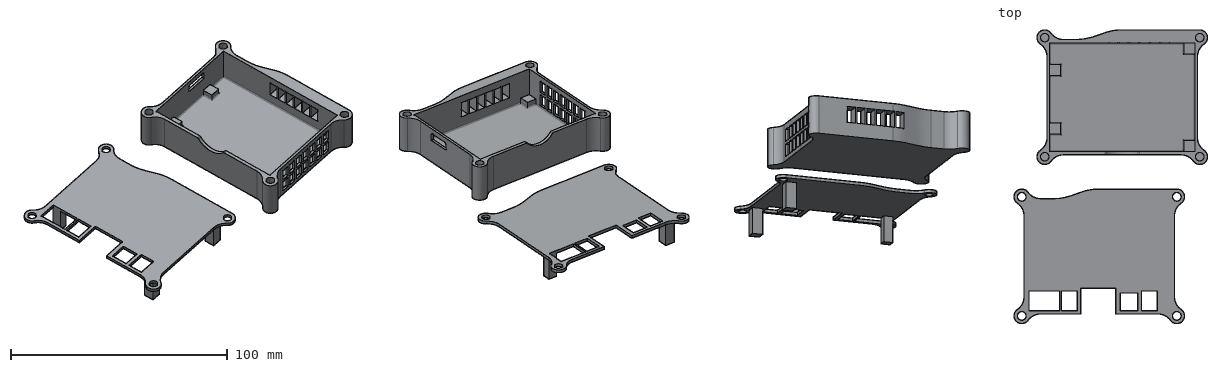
import cadquery as cq
import math

CAVITY_X = 67.0
CAVITY_Y = 50.0
SIDE_WALL = 1.25
END_WALL = 1.65
HOUSING_HEIGHT = 18.0
FLOOR = 1.5
FLOOR_FILLET = 0.4

BOSS_RADIUS = 3.6
BOSS_HOLE_DIAMETER = 3.9
BOSS_SPACING_X = 71.5
BOSS_SPACING_Y = 54.9
BOSS_BLEND_RADIUS = 7.0

SWELL_START_X = 12.8
SWELL_END_X = 33.0

PAD_SIZE = 5.0
PAD_TOP = 4.2
LEFT_PAD_Y = (8.0, 35.0)

THUMB_RADIUS = 9.3
THUMB_DEPTH = 3.8
THUMB_LIP_RADIUS = 1.0

SLOT_Y = 24.5
SLOT_LENGTH = 11.0
SLOT_BOTTOM = 11.65
SLOT_HEIGHT = 3.8
SLOT_CORNER = 0.8

SIDE_VENT_COLUMNS = 7
SIDE_VENT_PITCH = 5.0
SIDE_VENT_WIDTH = 3.5
SIDE_VENT_HEIGHT = 5.75
SIDE_VENT_BOTTOMS = (2.2, 9.45)

BACK_VENT_COUNT = 6
BACK_VENT_START_X = 27.4
BACK_VENT_PITCH = 4.8
BACK_VENT_WIDTH = 4.0
BACK_VENT_BOTTOM = 6.7
BACK_VENT_HEIGHT = 7.6

LID_THICKNESS = 1.5
LID_SHIFT_X = -10.59
LID_SHIFT_Y = -73.38
LEG_LENGTH = 12.4
SIDE_LEG_X = 1.0
SIDE_LEG_WIDTH = 4.5
SIDE_LEG_DEPTH = 4.0
LID_WINDOW_DEPTH = 9.0
LID_WINDOWS = (
    (1.2, 14.0, LID_WINDOW_DEPTH),
    (16.1, 7.2, LID_WINDOW_DEPTH),
    (43.2, 8.0, 8.0),
    (53.0, 7.2, LID_WINDOW_DEPTH),
)
LID_NOTCH_X = 25.0
LID_NOTCH_WIDTH = 16.0
LID_NOTCH_END_Y = 10.2

LEFT = -SIDE_WALL
RIGHT = CAVITY_X + SIDE_WALL
FRONT = -END_WALL
BACK = CAVITY_Y + END_WALL
BOSS_LEFT = (CAVITY_X - BOSS_SPACING_X) / 2
BOSS_RIGHT = BOSS_LEFT + BOSS_SPACING_X
BOSS_FRONT = (CAVITY_Y - BOSS_SPACING_Y) / 2
BOSS_BACK = BOSS_FRONT + BOSS_SPACING_Y
SWELL_Y = BOSS_BACK + BOSS_RADIUS
BOSS_CENTERS = [(x, y) for x in (BOSS_LEFT, BOSS_RIGHT) for y in (BOSS_FRONT, BOSS_BACK)]
RIGHT_PAD_Y = (0.0, CAVITY_Y - PAD_SIZE)
PAD_CORNERS = [(0.0, y) for y in LEFT_PAD_Y] + [(CAVITY_X - PAD_SIZE, y) for y in RIGHT_PAD_Y]


def box(x, y, z, length, width, height):
    """Box with its lowest corner at (x, y, z)."""
    return cq.Workplane("XY").box(length, width, height, centered=False).translate((x, y, z))


def blend_along_x(boss_x, boss_y, wall_y, inward_x):
    """Corners of a web between a boss and a front or back wall: wall foot, boss center,
    center of the arc tangent to boss and wall, and where that arc meets the wall."""
    outward_y = math.copysign(1, boss_y - wall_y)
    arc_y = wall_y + outward_y * BOSS_BLEND_RADIUS
    reach = math.sqrt((BOSS_RADIUS + BOSS_BLEND_RADIUS) ** 2 - (arc_y - boss_y) ** 2)
    arc_x = boss_x + inward_x * reach
    return [(boss_x, wall_y), (boss_x, boss_y), (arc_x, arc_y), (arc_x, wall_y)]


def blend_along_y(boss_x, boss_y, wall_x, inward_y):
    """Corners of a web between a boss and a side wall: the same blend with X and Y swapped."""
    return [(x, y) for y, x in blend_along_x(boss_y, boss_x, wall_x, inward_y)]


def blend_web(points, thickness):
    """Solid web through the given corners, less the blend arc."""
    arc_center = points[2]
    web = cq.Workplane("XY").polyline(points).close().extrude(thickness)
    hollow = cq.Workplane("XY").center(*arc_center).circle(BOSS_BLEND_RADIUS).extrude(thickness)
    return web.cut(hollow)


def outline_plate(thickness):
    """Plate with the outline shared by housing and lid."""
    plate = (
        cq.Workplane("XY")
        .moveTo(LEFT, FRONT)
        .lineTo(RIGHT, FRONT)
        .lineTo(RIGHT, BOSS_BACK)
        .lineTo(BOSS_RIGHT, BOSS_BACK)
        .lineTo(BOSS_RIGHT, SWELL_Y)
        .lineTo(SWELL_END_X, SWELL_Y)
        .spline([(SWELL_START_X, BACK)], tangents=[(-1, 0), (-1, 0)], includeCurrent=True)
        .lineTo(LEFT, BACK)
        .close()
        .extrude(thickness)
    )
    plate = plate.union(cq.Workplane("XY").pushPoints(BOSS_CENTERS).circle(BOSS_RADIUS).extrude(thickness))
    blends = [
        blend_along_x(BOSS_LEFT, BOSS_FRONT, FRONT, 1),
        blend_along_x(BOSS_RIGHT, BOSS_FRONT, FRONT, -1),
        blend_along_x(BOSS_LEFT, BOSS_BACK, BACK, 1),
    ]
    for boss_x, wall_x in ((BOSS_LEFT, LEFT), (BOSS_RIGHT, RIGHT)):
        blends.append(blend_along_y(boss_x, BOSS_FRONT, wall_x, 1))
        blends.append(blend_along_y(boss_x, BOSS_BACK, wall_x, -1))
    for points in blends:
        plate = plate.union(blend_web(points, thickness))
    return plate.clean()


def boss_holes(bottom, depth):
    return (
        cq.Workplane("XY", origin=(0, 0, bottom))
        .pushPoints(BOSS_CENTERS)
        .circle(BOSS_HOLE_DIAMETER / 2)
        .extrude(depth)
    )


def cavity_space():
    """Space inside the walls, above the floor and around the pads, rounded at the floor."""
    space = box(0, 0, FLOOR, CAVITY_X, CAVITY_Y, HOUSING_HEIGHT - FLOOR)
    for x, y in PAD_CORNERS:
        space = space.cut(box(x, y, FLOOR, PAD_SIZE, PAD_SIZE, PAD_TOP - FLOOR))
    return space.faces("<Z").edges().fillet(FLOOR_FILLET)


def thumb_notch():
    """Round dip in the top of the front wall, with its two upper corners rounded over."""
    center_z = HOUSING_HEIGHT - THUMB_DEPTH + THUMB_RADIUS
    lip_z = HOUSING_HEIGHT - THUMB_LIP_RADIUS
    rise = center_z - lip_z
    reach = THUMB_RADIUS + THUMB_LIP_RADIUS
    half_width = math.sqrt(reach**2 - rise**2)
    share = THUMB_RADIUS / reach
    joint_x = half_width * share
    joint_z = center_z - rise * share
    half_turn = math.atan2(half_width, rise) / 2
    lip_x = half_width - THUMB_LIP_RADIUS * math.sin(half_turn)
    lip_mid_z = lip_z + THUMB_LIP_RADIUS * math.cos(half_turn)
    return (
        cq.Workplane("XZ", origin=(CAVITY_X / 2, 0, 0))
        .moveTo(-half_width, HOUSING_HEIGHT)
        .threePointArc((-lip_x, lip_mid_z), (-joint_x, joint_z))
        .threePointArc((0, HOUSING_HEIGHT - THUMB_DEPTH), (joint_x, joint_z))
        .threePointArc((lip_x, lip_mid_z), (half_width, HOUSING_HEIGHT))
        .close()
        .extrude(END_WALL)
    )


def connector_slot():
    slot = box(LEFT, SLOT_Y, SLOT_BOTTOM, SIDE_WALL, SLOT_LENGTH, SLOT_HEIGHT)
    return slot.faces(">Z").edges("|X").fillet(SLOT_CORNER)


def side_vents():
    span = (SIDE_VENT_COLUMNS - 1) * SIDE_VENT_PITCH + SIDE_VENT_WIDTH
    start_y = (CAVITY_Y - span) / 2
    vents = cq.Workplane("XY")
    for column in range(SIDE_VENT_COLUMNS):
        y = start_y + column * SIDE_VENT_PITCH
        for z in SIDE_VENT_BOTTOMS:
            vents = vents.add(box(CAVITY_X, y, z, SIDE_WALL, SIDE_VENT_WIDTH, SIDE_VENT_HEIGHT))
    return vents.combine()


def back_vents():
    depth = SWELL_Y - CAVITY_Y
    vents = cq.Workplane("XY")
    for index in range(BACK_VENT_COUNT):
        x = BACK_VENT_START_X + index * BACK_VENT_PITCH
        vents = vents.add(box(x, CAVITY_Y, BACK_VENT_BOTTOM, BACK_VENT_WIDTH, depth, BACK_VENT_HEIGHT))
    return vents.combine()


def make_housing():
    """Open-topped box with blind screw holes, a notch, a slot and vents."""
    return (
        outline_plate(HOUSING_HEIGHT)
        .cut(cavity_space())
        .cut(boss_holes(FLOOR, HOUSING_HEIGHT - FLOOR))
        .cut(thumb_notch())
        .cut(connector_slot())
        .cut(side_vents())
        .cut(back_vents())
    )


def make_lid():
    """Flat lid with connector windows, a front notch and three legs below."""
    lid = outline_plate(LID_THICKNESS).cut(boss_holes(0, LID_THICKNESS))
    for x, width, depth in LID_WINDOWS:
        lid = lid.cut(box(x, 0, 0, width, depth, LID_THICKNESS))
    notch_depth = LID_NOTCH_END_Y - FRONT
    lid = lid.cut(box(LID_NOTCH_X, FRONT, 0, LID_NOTCH_WIDTH, notch_depth, LID_THICKNESS))
    for y in RIGHT_PAD_Y:
        lid = lid.union(box(CAVITY_X - PAD_SIZE, y, -LEG_LENGTH, PAD_SIZE, PAD_SIZE, LEG_LENGTH))
    side_leg = box(SIDE_LEG_X, LID_WINDOW_DEPTH, -LEG_LENGTH, SIDE_LEG_WIDTH, SIDE_LEG_DEPTH, LEG_LENGTH)
    return lid.union(side_leg).translate((LID_SHIFT_X, LID_SHIFT_Y, 0))


housing = make_housing()
lid = make_lid()

result = cq.Compound.makeCompound([housing.solids().val(), lid.solids().val()])